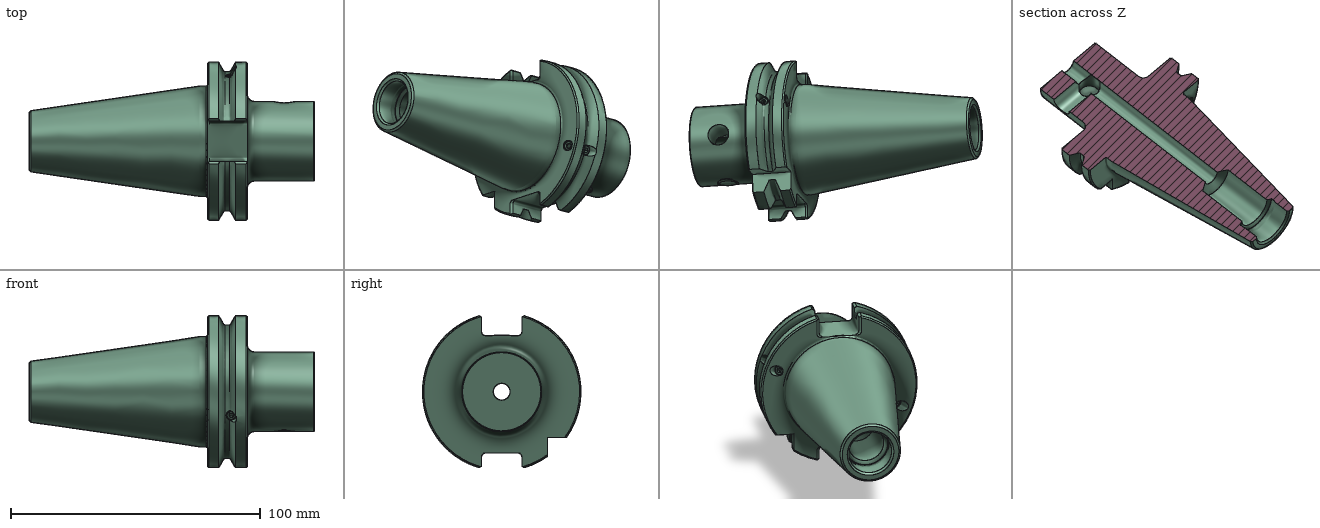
import cadquery as cq
import math

TOTAL_LENGTH = 114.2

GAUGE_X = 68.4
GAUGE_RADIUS = 22.2
TAPER_RATE = 7 / 24
NOSE_CHAMFER = 0.7
NOSE_RADIUS = GAUGE_RADIUS - GAUGE_X * TAPER_RATE / 2

FLANGE_START = 71.5
FLANGE_END = 87.4
FLANGE_RADIUS = 31.8
FLANGE_CHAMFER = 0.6
COLLAR_FILLET = 0.7
GROOVE_CENTRE = 79.3
GROOVE_MOUTH_WIDTH = 6.9
GROOVE_ROOT_RADIUS = 28.0
GROOVE_HALF_ANGLE = math.radians(30)
GROOVE_FILLET = 0.6

SLOT_WIDTH = 16.1
SLOT_HALF_WIDTH = SLOT_WIDTH / 2
SLOT_FILLET = 1.6
UPPER_SLOT_FLOOR = 22.5
LOWER_SLOT_FLOOR = 24.6
SLOT_RIM_CHAMFER = 1.0
SLOT_FACE_CHAMFER_DEPTH = 0.7
SLOT_RIM_SLOPE = 0.6
NOTCH_CORNER = 18.4

BOSS_RADIUS = 16.0
BOSS_CHAMFER = 0.3
BOSS_FILLET = 2.9
CLAMP_HOLE_X = 102.1
CLAMP_HOLE_RADIUS = 4.2
CLAMP_SCREW_LENGTH = 8.0
CLAMP_SCREW_CHAMFER = 0.8

BORE_MOUTH_RADIUS = 9.5
PILOT_RADIUS = 8.7
PILOT_DEPTH = 7.1
RELIEF_RADIUS = 8.9
RELIEF_START = 8.0
RELIEF_END = 9.5
THREAD_RADIUS = 7.2
THREAD_END = 32.0
BORE_CONE_HALF_ANGLE = math.radians(59)
THROUGH_RADIUS = 3.3

COOLANT_ANGLE = 20
PLUG_RADIUS = 2.0
PLUG_LENGTH = 4.6
PLUG_CHAMFER = 0.3
SOCKET_RADIUS = 1.0
SOCKET_SIDES = 6
SOCKET_DEPTH = 1.7
FACE_HOLE_RADIAL = 27.2
FACE_HOLE_TILT = math.radians(40)
FACE_PLUG_RECESS = 2.3
GROOVE_HOLE_X = 81.0
GROOVE_PLUG_RECESS = 0.3

CLEARANCE = 5.7
MATCH_TOLERANCE = 0.01


def ring_edges(body, x, radius):
    """Circular edges of the body at one place along the axis, with one radius."""
    edges = [
        edge
        for edge in body.edges("%CIRCLE").vals()
        if abs(edge.arcCenter().x - x) < MATCH_TOLERANCE
        and abs(edge.radius() - radius) < MATCH_TOLERANCE
    ]
    return body.newObject(edges)


def turned_body():
    """Taper, collar, grooved flange and boss, as one turned shape."""
    flank_run = (FLANGE_RADIUS - GROOVE_ROOT_RADIUS) * math.tan(GROOVE_HALF_ANGLE)
    groove_left = GROOVE_CENTRE - GROOVE_MOUTH_WIDTH / 2
    groove_right = GROOVE_CENTRE + GROOVE_MOUTH_WIDTH / 2
    root_left = groove_left + flank_run
    root_right = groove_right - flank_run
    body = (
        cq.Workplane("XY")
        .polyline(
            [
                (0, 0),
                (0, NOSE_RADIUS),
                (GAUGE_X, GAUGE_RADIUS),
                (FLANGE_START, GAUGE_RADIUS),
                (FLANGE_START, FLANGE_RADIUS),
                (groove_left, FLANGE_RADIUS),
                (root_left, GROOVE_ROOT_RADIUS),
                (root_right, GROOVE_ROOT_RADIUS),
                (groove_right, FLANGE_RADIUS),
                (FLANGE_END, FLANGE_RADIUS),
                (FLANGE_END, BOSS_RADIUS),
                (TOTAL_LENGTH, BOSS_RADIUS),
                (TOTAL_LENGTH, 0),
            ]
        )
        .close()
        .revolve(360, (0, 0, 0), (1, 0, 0))
    )
    body = ring_edges(body, 0, NOSE_RADIUS).chamfer(NOSE_CHAMFER)
    body = ring_edges(body, FLANGE_START, GAUGE_RADIUS).fillet(COLLAR_FILLET)
    body = ring_edges(body, FLANGE_START, FLANGE_RADIUS).chamfer(FLANGE_CHAMFER)
    for root_x in (root_left, root_right):
        body = ring_edges(body, root_x, GROOVE_ROOT_RADIUS).fillet(GROOVE_FILLET)
    body = ring_edges(body, FLANGE_END, FLANGE_RADIUS).chamfer(FLANGE_CHAMFER)
    body = ring_edges(body, FLANGE_END, BOSS_RADIUS).fillet(BOSS_FILLET)
    return ring_edges(body, TOTAL_LENGTH, BOSS_RADIUS).chamfer(BOSS_CHAMFER)


def axial_bore():
    """Chamfered pilot with an end relief, thread bore between two cones, and a through hole."""
    lead_in = (PILOT_RADIUS - THREAD_RADIUS) / math.tan(BORE_CONE_HALF_ANGLE)
    drill_tip = (THREAD_RADIUS - THROUGH_RADIUS) / math.tan(BORE_CONE_HALF_ANGLE)
    return (
        cq.Workplane("XY")
        .polyline(
            [
                (0, 0),
                (0, BORE_MOUTH_RADIUS),
                (BORE_MOUTH_RADIUS - PILOT_RADIUS, PILOT_RADIUS),
                (PILOT_DEPTH, PILOT_RADIUS),
                (RELIEF_START, RELIEF_RADIUS),
                (RELIEF_END, RELIEF_RADIUS),
                (RELIEF_END, PILOT_RADIUS),
                (RELIEF_END + lead_in, THREAD_RADIUS),
                (THREAD_END, THREAD_RADIUS),
                (THREAD_END + drill_tip, THROUGH_RADIUS),
                (TOTAL_LENGTH, THROUGH_RADIUS),
                (TOTAL_LENGTH, 0),
            ]
        )
        .close()
        .revolve(360, (0, 0, 0), (1, 0, 0))
    )


def slot_outline(x, half_width, floor):
    """Cross-section of a drive slot at X = x: open at the top, with rounded floor corners."""
    top = FLANGE_RADIUS + CLEARANCE
    return (
        cq.Workplane("YZ", origin=(x, 0, 0))
        .moveTo(-half_width, top)
        .lineTo(-half_width, floor + SLOT_FILLET)
        .radiusArc((-half_width + SLOT_FILLET, floor), -SLOT_FILLET)
        .lineTo(half_width - SLOT_FILLET, floor)
        .radiusArc((half_width, floor + SLOT_FILLET), -SLOT_FILLET)
        .lineTo(half_width, top)
        .close()
    )


def drive_slot(floor):
    """Cutter for the +Z slot, widened at the taper-side face and along the flange rim."""
    slot = slot_outline(FLANGE_START, SLOT_HALF_WIDTH, floor).extrude(FLANGE_END - FLANGE_START)

    wide_half = SLOT_HALF_WIDTH + SLOT_RIM_CHAMFER
    face_wire = slot_outline(FLANGE_START, wide_half, floor).wires().val()
    chamfer_end = FLANGE_START + SLOT_FACE_CHAMFER_DEPTH
    inner_wire = slot_outline(chamfer_end, SLOT_HALF_WIDTH, floor).wires().val()
    face_chamfer = cq.Workplane(cq.Solid.makeLoft([face_wire, inner_wire], True))

    rim_height = math.sqrt(FLANGE_RADIUS**2 - wide_half**2)
    rim_chamfer = (
        cq.Workplane("YZ", origin=(FLANGE_START, 0, 0))
        .polyline(
            [
                (0, rim_height - wide_half * SLOT_RIM_SLOPE),
                (wide_half, rim_height),
                (wide_half, rim_height + CLEARANCE),
                (-wide_half, rim_height + CLEARANCE),
                (-wide_half, rim_height),
            ]
        )
        .close()
        .extrude(FLANGE_END - FLANGE_START)
    )
    return slot.union(face_chamfer).union(rim_chamfer)


def orientation_notch():
    """Square notch through the flange rim on the +Y, -Z side."""
    block = cq.Workplane("XY").box(
        FLANGE_END - FLANGE_START, FLANGE_RADIUS, FLANGE_RADIUS, centered=False
    )
    return block.translate((FLANGE_START, NOTCH_CORNER, -NOTCH_CORNER - FLANGE_RADIUS))


def clamp_hole(direction):
    """Radial cutter from the axis to the boss surface."""
    start = cq.Vector(CLAMP_HOLE_X, 0, 0)
    return cq.Workplane(cq.Solid.makeCylinder(CLAMP_HOLE_RADIUS, BOSS_RADIUS, start, direction))


def make_clamp_screw():
    """Set screw in the -Z hole of the boss, its outer end level with the boss surface."""
    return (
        cq.Workplane("XY", origin=(CLAMP_HOLE_X, 0, -BOSS_RADIUS))
        .circle(CLAMP_HOLE_RADIUS)
        .extrude(CLAMP_SCREW_LENGTH)
        .faces("<Z")
        .chamfer(CLAMP_SCREW_CHAMFER)
    )


def coolant_hole(plane, recess):
    """Cutter for a blind coolant hole that ends under its plug."""
    return (
        cq.Workplane(plane)
        .workplane(offset=-recess - PLUG_LENGTH)
        .circle(PLUG_RADIUS)
        .extrude(recess + PLUG_LENGTH + CLEARANCE)
    )


def make_plug(plane, recess):
    """Plug with a hexagon socket, its outer face sunk below the plane by the recess."""
    blank = (
        cq.Workplane(plane)
        .workplane(offset=-recess - PLUG_LENGTH)
        .circle(PLUG_RADIUS)
        .extrude(PLUG_LENGTH)
        .faces(cq.selectors.DirectionMinMaxSelector(plane.zDir))
        .chamfer(PLUG_CHAMFER)
    )
    socket = (
        cq.Workplane(plane)
        .workplane(offset=-recess - SOCKET_DEPTH)
        .polygon(SOCKET_SIDES, 2 * SOCKET_RADIUS)
        .extrude(SOCKET_DEPTH)
    )
    return blank.cut(socket)


def turned(shape, angle):
    """The shape turned about the part's axis."""
    return shape.rotate((0, 0, 0), (1, 0, 0), angle)


face_mouth = cq.Plane(
    origin=(FLANGE_START, -FACE_HOLE_RADIAL, 0),
    xDir=(0, 0, 1),
    normal=(-math.cos(FACE_HOLE_TILT), -math.sin(FACE_HOLE_TILT), 0),
)
groove_mouth = cq.Plane(
    origin=(GROOVE_HOLE_X, -GROOVE_ROOT_RADIUS, 0),
    xDir=(1, 0, 0),
    normal=(0, -1, 0),
)

housing = turned_body().cut(axial_bore())
housing = housing.cut(drive_slot(UPPER_SLOT_FLOOR))
housing = housing.cut(drive_slot(LOWER_SLOT_FLOOR).mirror("XY"))
housing = housing.cut(orientation_notch())
housing = housing.cut(clamp_hole(cq.Vector(0, 1, 0)))
housing = housing.cut(clamp_hole(cq.Vector(0, 0, -1)))

plugs = []
for angle in (COOLANT_ANGLE, COOLANT_ANGLE + 180):
    for mouth, recess in ((face_mouth, FACE_PLUG_RECESS), (groove_mouth, GROOVE_PLUG_RECESS)):
        housing = housing.cut(turned(coolant_hole(mouth, recess), angle))
        plugs.append(turned(make_plug(mouth, recess), angle))

clamp_screw = make_clamp_screw()

result = cq.Compound.makeCompound(
    [housing.val(), clamp_screw.val(), *[plug.val() for plug in plugs]]
)